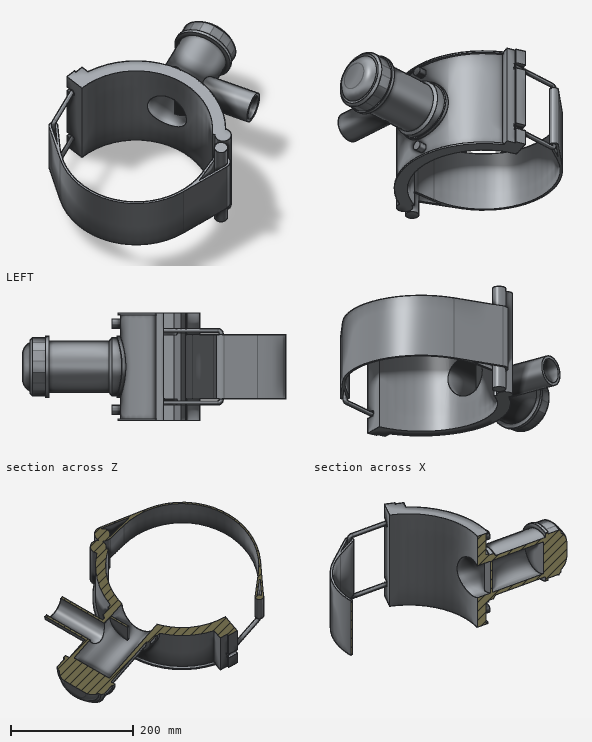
import cadquery as cq
import math

HEIGHT = 176.0

PIPE_R = 125.0
SADDLE_R = 142.0
MID_WALL_R = (PIPE_R + SADDLE_R) / 2
RIM_R = 146.5
RIM_THICKNESS = 3.0
SADDLE_END_ANGLE = 20.0
PAD_R = 147.5

STRAP_WIDTH = 105.0
STRAP_THICKNESS = 4.0
STRAP_R = PIPE_R + STRAP_THICKNESS
RIGHT, LEFT = 1, -1

ROD_R = 22.0 / 2
ROD_CENTER = (142.0, 23.0)
LUG_R = 13.5
LUG_CENTER_R = 142.5

WIRE_R = 7.0 / 2
WIRE_X = -138.5
WIRE_LOW_Y = -23.0
WIRE_CENTER = (WIRE_X, WIRE_LOW_Y)
WIRE_TOP_Y = 71.0
WIRE_Z = 59.0
WIRE_BEND_R = 5.0
SLOT_R = 10.0 / 2
SLOT_Z = 57.3

BLOCK_OUTER_R = 159.7
BLOCK_STEP_R = 156.5
BLOCK_ROOT_R = 133.5
BLOCK_STEP_HEIGHT = 17.5
BLOCK_HEIGHT = 32.0

TOWER_R = 85.0 / 2
FOOT_R = 95.0 / 2
PAD_RING_R = 100.0 / 2
FOOT_TOP_Y = 156.0
FOOT_CHAMFER_TOP_Y = 160.0
BORE_R = 70.0 / 2
BORE_TOP_Y = 254.0
SHUTTER_Y = 150.0
SHUTTER_THICKNESS = 4.5

CAP_R = FOOT_R
CAP_FLANGE_R = 100.0 / 2
CAP_FLANGE_Y = 258.5
CAP_GRIP_Y = 264.0
CAP_GRIP_TOP_Y = 285.5
CAP_SHOULDER_Y = 289.8
CAP_SHOULDER_R = 43.5
DOME_R = 39.5
DOME_MID_R = 31.5
DOME_MID_Y = 299.0
CAP_TOP_R = 22.5
CAP_TOP_Y = 302.0
GRIP_FLATS = 8

OUTLET_R = 50.0 / 2
OUTLET_BORE_R = 40.0 / 2
OUTLET_END_X = 123.0
OUTLET_Y = 189.5

PEG_R = 7.7
PEG_TIP_Y = 156.0
PEG_Z = 70.5


def polar(radius, angle):
    return (radius * math.cos(math.radians(angle)), radius * math.sin(math.radians(angle)))


def shifted(center, radius, angle):
    x, y = polar(radius, angle)
    return (center[0] + x, center[1] + y)


def bar_z(outline, length):
    """Extrude an outline along Z, centred on the XY plane."""
    return outline.extrude(length / 2, both=True)


def cylinder_z(center, radius, length):
    return bar_z(cq.Workplane("XY").center(*center).circle(radius), length)


def cylinder_y(radius, y_start, y_end, z=0.0):
    plane = cq.Workplane("XZ", origin=(0, y_start, z))
    return plane.circle(radius).extrude(y_start - y_end)


def pipe_core(radius):
    return cylinder_z((0, 0), radius, HEIGHT)


def saddle_arc(outer_r, length):
    start, end = SADDLE_END_ANGLE, 180 - SADDLE_END_ANGLE
    outline = (
        cq.Workplane("XY")
        .moveTo(*polar(PIPE_R, start))
        .lineTo(*polar(outer_r, start))
        .threePointArc((0, outer_r), polar(outer_r, end))
        .lineTo(*polar(PIPE_R, end))
        .threePointArc((0, PIPE_R), polar(PIPE_R, start))
        .close()
    )
    return bar_z(outline, length)


def saddle():
    rims = saddle_arc(RIM_R, HEIGHT).cut(saddle_arc(RIM_R, HEIGHT - 2 * RIM_THICKNESS))
    lug = cylinder_z(polar(LUG_CENTER_R, SADDLE_END_ANGLE), LUG_R, HEIGHT)
    return saddle_arc(SADDLE_R, HEIGHT).union(rims).union(lug)


def latch_block():
    angle = 180 - SADDLE_END_ANGLE

    def point(radial, tangential):
        return shifted(polar(radial, angle), tangential, angle - 90)

    corners = [
        point(BLOCK_ROOT_R, 0),
        point(BLOCK_OUTER_R, 0),
        point(BLOCK_OUTER_R, BLOCK_STEP_HEIGHT),
        point(BLOCK_STEP_R, BLOCK_STEP_HEIGHT),
        point(BLOCK_STEP_R, BLOCK_HEIGHT),
        point(BLOCK_ROOT_R, BLOCK_HEIGHT),
    ]
    block = bar_z(cq.Workplane("XY").polyline(corners).close(), HEIGHT)
    for side in (1, -1):
        block = block.cut(wire_slot(side * SLOT_Z))
    return block


def wire_slot(z):
    """Round-ended slot along Y, open towards -X."""
    round_end = (
        cq.Workplane("XZ", origin=(WIRE_X, WIRE_TOP_Y, z))
        .circle(SLOT_R)
        .extrude(WIRE_TOP_Y)
    )
    mouth = cq.Workplane("XY").box(BLOCK_OUTER_R, WIRE_TOP_Y, 2 * SLOT_R, centered=(False, False, True))
    return round_end.union(mouth.translate((WIRE_X - BLOCK_OUTER_R, 0, z)))


def tangent_angle(center, side, strap_r, loop_r):
    """Direction of the strap point where a line tangent to strap and loop touches.

    A negative loop_r gives the tangent that crosses between the two circles.
    """
    distance = math.hypot(*center)
    direction = math.degrees(math.atan2(center[1], center[0]))
    return direction - side * math.degrees(math.acos((strap_r - loop_r) / distance))


def tangents_meeting_point(radius_a, angle_a, radius_b, angle_b):
    """Where the tangents of two circles about the pipe axis cross, touching at the given angles."""
    a, b = math.radians(angle_a), math.radians(angle_b)
    spread = math.sin(b - a)
    x = (radius_a * math.sin(b) - radius_b * math.sin(a)) / spread
    y = (radius_b * math.cos(a) - radius_a * math.cos(b)) / spread
    return (x, y)


def loop_points(center, side, loop_r, outer, inner):
    """Start, middle and end of the arc around a rod, from the outer to the inner strap layer."""
    last = inner + side * 180
    return [shifted(center, loop_r, angle) for angle in (outer, (outer + last) / 2, last)]


def strap_outline():
    right_r, left_r = ROD_R + STRAP_THICKNESS, WIRE_R + STRAP_THICKNESS
    right_out = tangent_angle(ROD_CENTER, RIGHT, STRAP_R, right_r)
    right_in = tangent_angle(ROD_CENTER, RIGHT, PIPE_R, -right_r)
    left_out = tangent_angle(WIRE_CENTER, LEFT, STRAP_R, left_r)
    left_in = tangent_angle(WIRE_CENTER, LEFT, PIPE_R, -left_r)
    right_turn = loop_points(ROD_CENTER, RIGHT, right_r, right_out, right_in)
    left_turn = loop_points(WIRE_CENTER, LEFT, left_r, left_out, left_in)
    return (
        cq.Workplane("XY")
        .moveTo(*polar(STRAP_R, left_out))
        .threePointArc((0, -STRAP_R), polar(STRAP_R, right_out))
        .lineTo(*right_turn[0])
        .threePointArc(right_turn[1], right_turn[2])
        .lineTo(*polar(PIPE_R, right_in))
        .threePointArc((0, -PIPE_R), polar(PIPE_R, left_in))
        .lineTo(*left_turn[2])
        .threePointArc(left_turn[1], left_turn[0])
        .close()
    )


def loop_opening(center, side, loop_r):
    """Teardrop left between the two strap layers around a rod."""
    outer = tangent_angle(center, side, PIPE_R, loop_r)
    inner = tangent_angle(center, side, STRAP_R, -loop_r)
    start, middle, end = loop_points(center, side, loop_r, outer, inner)
    outline = (
        cq.Workplane("XY")
        .moveTo(*tangents_meeting_point(PIPE_R, outer, STRAP_R, inner))
        .lineTo(*start)
        .threePointArc(middle, end)
        .close()
    )
    return bar_z(outline, STRAP_WIDTH)


def strap():
    band = bar_z(strap_outline(), STRAP_WIDTH)
    band = band.cut(loop_opening(ROD_CENTER, RIGHT, ROD_R))
    return band.cut(loop_opening(WIRE_CENTER, LEFT, WIRE_R))


def wire_bail():
    bend_y = WIRE_LOW_Y + WIRE_BEND_R
    bend_z = WIRE_Z - WIRE_BEND_R
    mid = WIRE_BEND_R * math.sqrt(0.5)
    path = (
        cq.Workplane("YZ", origin=(WIRE_X, 0, 0))
        .moveTo(WIRE_TOP_Y, WIRE_Z)
        .lineTo(bend_y, WIRE_Z)
        .threePointArc((bend_y - mid, bend_z + mid), (WIRE_LOW_Y, bend_z))
        .lineTo(WIRE_LOW_Y, -bend_z)
        .threePointArc((bend_y - mid, -bend_z - mid), (bend_y, -WIRE_Z))
        .lineTo(WIRE_TOP_Y, -WIRE_Z)
    )
    profile = cq.Workplane("XZ", origin=(WIRE_X, WIRE_TOP_Y, WIRE_Z)).circle(WIRE_R)
    return profile.sweep(path)


def tower_body():
    """Turned column with foot and cap, solid, running down to the pipe axis."""
    profile = (
        cq.Workplane("XY")
        .moveTo(0, 0)
        .lineTo(FOOT_R, 0)
        .lineTo(FOOT_R, FOOT_TOP_Y)
        .lineTo(TOWER_R, FOOT_CHAMFER_TOP_Y)
        .lineTo(TOWER_R, CAP_FLANGE_Y)
        .lineTo(CAP_FLANGE_R, CAP_FLANGE_Y)
        .lineTo(CAP_FLANGE_R, CAP_GRIP_Y)
        .lineTo(CAP_R, CAP_GRIP_Y)
        .lineTo(CAP_R, CAP_GRIP_TOP_Y)
        .lineTo(CAP_SHOULDER_R, CAP_SHOULDER_Y)
        .lineTo(DOME_R, CAP_SHOULDER_Y)
        .threePointArc((DOME_MID_R, DOME_MID_Y), (CAP_TOP_R, CAP_TOP_Y))
        .lineTo(0, CAP_TOP_Y)
        .close()
    )
    return profile.revolve(360, (0, 0, 0), (0, 1, 0))


def grip_flats():
    """Material outside the flats that alternate with round stretches on the cap."""
    step = 360 / GRIP_FLATS
    apothem = CAP_R * math.cos(math.radians(step / 4))
    grip_height = CAP_GRIP_TOP_Y - CAP_GRIP_Y
    slab = cq.Workplane("XY").box(CAP_R, grip_height, CAP_R, centered=(False, False, True))
    slab = slab.translate((apothem, CAP_GRIP_Y, 0))
    return [slab.rotate((0, 0, 0), (0, 1, 0), (index + 0.5) * step) for index in range(GRIP_FLATS)]


def tower():
    body = tower_body()
    for slab in grip_flats():
        body = body.cut(slab)
    outlet = cq.Workplane("YZ").center(OUTLET_Y, 0).circle(OUTLET_R).extrude(OUTLET_END_X)
    pad = cylinder_y(PAD_RING_R, 0, PAD_R).intersect(pipe_core(PAD_R))
    return body.union(outlet).union(pad).cut(pipe_core(MID_WALL_R))


def half_shutter():
    """Half disc that closes the +X side of the riser bore."""
    plane = cq.Workplane("XZ", origin=(0, SHUTTER_Y, 0))
    half = plane.moveTo(0, -TOWER_R).threePointArc((TOWER_R, 0), (0, TOWER_R)).close()
    return half.extrude(-SHUTTER_THICKNESS)


def flow_bores():
    riser = cylinder_y(BORE_R, 0, BORE_TOP_Y)
    side = cq.Workplane("YZ").center(OUTLET_Y, 0).circle(OUTLET_BORE_R).extrude(OUTLET_END_X)
    return riser.union(side).cut(half_shutter())


result = saddle().union(latch_block()).union(tower())
for peg_z in (PEG_Z, -PEG_Z):
    result = result.union(cylinder_y(PEG_R, MID_WALL_R, PEG_TIP_Y, peg_z))
result = result.cut(flow_bores())
result = result.union(strap())
result = result.union(cylinder_z(ROD_CENTER, ROD_R, HEIGHT))
result = result.union(wire_bail())